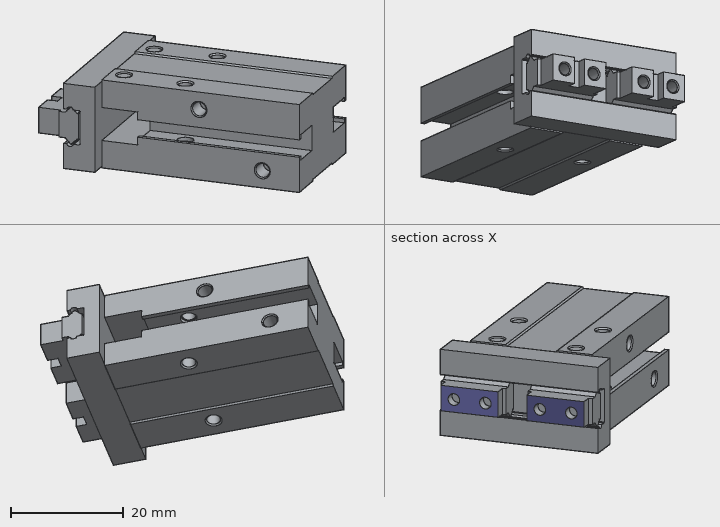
import cadquery as cq
TOTAL_LENGTH = 48.7
CUT_OVERSHOOT = 0.5

PLATE_FRONT_X = 5.2
PLATE_BACK_X = 11.2
PLATE_WIDTH = 30.0
PLATE_HEIGHT = 15.95

SLOT_BACK_X = 8.4
SLOT_HALF_HEIGHT = 3.2
SLOT_CHAMFER = 0.15
RAIL_X = 6.5
GROOVE_DEPTH = 0.5
GROOVE_RADIUS = 0.65

BLOCK_WIDTH = 23.15
BLOCK_HEIGHT = 16.5
RECESS_DEPTH = 0.3
RECESS_HALF_WIDTH = 4.9

WINDOW_BACK_X = 18.0
WINDOW_HEIGHT = 6.2
CHANNEL_MOUTH_HEIGHT = 3.25
CHANNEL_HEIGHT = 4.7
LIP_WIDTH = 0.8
WEB_WIDTH = 10.7

HOLE_DIAMETER = 2.6
HOLE_MOUTH_DIAMETER = 3.0
MOUNT_HOLE_X = 25.7
MOUNT_HOLE_Y = 8.0
TOP_DIMPLE_X = 13.9
TOP_DIMPLE_Y = 7.5
TOP_DIMPLE_DIAMETER = 2.6
TOP_DIMPLE_DEPTH = (HOLE_MOUTH_DIAMETER - TOP_DIMPLE_DIAMETER) / 2
MOUNT_BORE_DIAMETER = 2.5
MOUNT_RECESS_DIAMETER = 2.95
MOUNT_RECESS_DEPTH = 0.75
PORT_PLACES = [(29.65, 5.0), (41.7, -5.0)]
PORT_DEPTH = 3.9
PORT_DUCT_DIAMETER = 0.55
PORT_DUCT_LENGTH = 1.95

JAW_HEIGHT = 4.8
JAW_BACK_X = 7.9
SHOULDER_X = 4.15
SLIDE_INNER_Y = 2.1
SLIDE_OUTER_Y = 14.4
FINGER_CENTER_Y = 8.2
FINGER_WIDTH = 10.9
NOTCH_WIDTH = 2.1
NOTCH_DEPTH = 1.95
RAIL_HEIGHT = 1.05
RAIL_CREST = 0.15
JAW_HOLE_SPACING = 6.0
JAW_HOLE_DIAMETER = 2.1
JAW_HOLE_MOUTH_DIAMETER = 2.55
JAW_HOLE_DEPTH = 3.9


def box_between(x_range, y_range, z_range):
    """Box that fills the given ranges along X, Y and Z."""
    (x0, x1), (y0, y1), (z0, z1) = x_range, y_range, z_range
    return cq.Workplane("XY").box(x1 - x0, y1 - y0, z1 - z0, centered=False).translate((x0, y0, z0))


def centered_range(size):
    return (-size / 2, size / 2)


def drill(start, direction, diameter, depth, mouth_diameter):
    """Flat-bottomed hole tool with a 45 degree countersink at its mouth."""
    countersink = (mouth_diameter - diameter) / 2
    start = cq.Vector(*start)
    direction = cq.Vector(*direction)
    bore = cq.Solid.makeCylinder(diameter / 2, depth, start, direction)
    mouth = cq.Solid.makeCone(mouth_diameter / 2, diameter / 2, countersink, start, direction)
    return cq.Workplane("XY").add(bore.fuse(mouth))


def across_y(points, y_range):
    """Prism along Y with the given X-Z outline."""
    y0, y1 = y_range
    return cq.Workplane("XZ", origin=(0, y0, 0)).polyline(points).close().extrude(y0 - y1)


def rail_slot():
    """Slot for the jaws, with a round groove in its upper and lower walls."""
    y_range = centered_range(PLATE_WIDTH + 2 * CUT_OVERSHOOT)
    upper = [
        (PLATE_FRONT_X, SLOT_HALF_HEIGHT + SLOT_CHAMFER),
        (PLATE_FRONT_X + SLOT_CHAMFER, SLOT_HALF_HEIGHT),
        (SLOT_BACK_X - SLOT_CHAMFER, SLOT_HALF_HEIGHT),
        (SLOT_BACK_X, SLOT_HALF_HEIGHT - SLOT_CHAMFER),
    ]
    lower = [(x, -z) for x, z in reversed(upper)]
    slot = across_y(upper + lower, y_range)
    groove_length = PLATE_WIDTH + 2 * CUT_OVERSHOOT
    groove_center_z = SLOT_HALF_HEIGHT + GROOVE_DEPTH - GROOVE_RADIUS
    for side in (1, -1):
        groove_start = cq.Vector(RAIL_X, y_range[0], side * groove_center_z)
        groove = cq.Solid.makeCylinder(GROOVE_RADIUS, groove_length, groove_start, cq.Vector(0, 1, 0))
        slot = slot.union(cq.Workplane("XY").add(groove))
    return slot


def main_block():
    """Block whose top and bottom faces have a lowered middle band with sloping flanks."""
    half_width = BLOCK_WIDTH / 2
    half_height = BLOCK_HEIGHT / 2
    band_half_width = RECESS_HALF_WIDTH - RECESS_DEPTH
    top = [
        (half_width, half_height),
        (RECESS_HALF_WIDTH, half_height),
        (band_half_width, half_height - RECESS_DEPTH),
        (-band_half_width, half_height - RECESS_DEPTH),
        (-RECESS_HALF_WIDTH, half_height),
        (-half_width, half_height),
    ]
    bottom = [(y, -z) for y, z in reversed(top)]
    profile = cq.Workplane("YZ", origin=(PLATE_BACK_X, 0, 0)).polyline(top + bottom).close()
    return profile.extrude(TOTAL_LENGTH - PLATE_BACK_X)


def side_channel(side):
    """Lipped channel along one side of the block, open at the rear and into the window."""
    x_range = (WINDOW_BACK_X, TOTAL_LENGTH)
    web_y = WEB_WIDTH / 2
    outer_y = BLOCK_WIDTH / 2
    mouth = box_between(x_range, (web_y, outer_y), centered_range(CHANNEL_MOUTH_HEIGHT))
    inside = box_between(x_range, (web_y, outer_y - LIP_WIDTH), centered_range(CHANNEL_HEIGHT))
    channel = mouth.union(inside)
    return channel if side > 0 else channel.mirror("XZ")


def air_port(x, z):
    """Threaded port on the -Y side with a narrow duct at its bottom."""
    face_y = -BLOCK_WIDTH / 2
    port = drill((x, face_y, z), (0, 1, 0), HOLE_DIAMETER, PORT_DEPTH, HOLE_MOUTH_DIAMETER)
    duct_start = cq.Vector(x, face_y + PORT_DEPTH, z)
    duct = cq.Solid.makeCylinder(PORT_DUCT_DIAMETER / 2, PORT_DUCT_LENGTH, duct_start, cq.Vector(0, 1, 0))
    return port.union(cq.Workplane("XY").add(duct))


def mount_hole(y, end):
    """Hole through the upper (end = 1) or lower (end = -1) wing, with a shallow counterbore in the channel."""
    outer_z = BLOCK_HEIGHT / 2
    inner_z = CHANNEL_HEIGHT / 2
    outside = (MOUNT_HOLE_X, y, end * outer_z)
    inside = cq.Vector(MOUNT_HOLE_X, y, end * inner_z)
    bore = drill(outside, (0, 0, -end), MOUNT_BORE_DIAMETER, outer_z - inner_z, HOLE_MOUTH_DIAMETER)
    recess = cq.Solid.makeCylinder(MOUNT_RECESS_DIAMETER / 2, MOUNT_RECESS_DEPTH, inside, cq.Vector(0, 0, end))
    return bore.union(cq.Workplane("XY").add(recess))


def make_housing():
    plate = box_between((PLATE_FRONT_X, PLATE_BACK_X), centered_range(PLATE_WIDTH), centered_range(PLATE_HEIGHT))
    housing = plate.cut(rail_slot()).union(main_block())
    housing = housing.cut(
        box_between((PLATE_BACK_X, WINDOW_BACK_X), centered_range(BLOCK_WIDTH), centered_range(WINDOW_HEIGHT))
    )
    half_height = BLOCK_HEIGHT / 2
    for side in (1, -1):
        housing = housing.cut(side_channel(side))
        top_start = (TOP_DIMPLE_X, side * TOP_DIMPLE_Y, half_height)
        dimple = drill(top_start, (0, 0, -1), TOP_DIMPLE_DIAMETER, TOP_DIMPLE_DEPTH, HOLE_MOUTH_DIAMETER)
        housing = housing.cut(dimple)
        for end in (1, -1):
            housing = housing.cut(mount_hole(side * MOUNT_HOLE_Y, end))
    for x, z in PORT_PLACES:
        housing = housing.cut(air_port(x, z))
    return housing


def make_jaw(side):
    """Jaw with a notched finger in front of a slide that carries V rails; side is +1 or -1 along Y."""
    half_height = JAW_HEIGHT / 2
    slide_range = (SLIDE_INNER_Y, SLIDE_OUTER_Y)
    z_range = centered_range(JAW_HEIGHT)
    jaw = box_between((SHOULDER_X, JAW_BACK_X), slide_range, z_range)

    finger_range = (FINGER_CENTER_Y - FINGER_WIDTH / 2, FINGER_CENTER_Y + FINGER_WIDTH / 2)
    jaw = jaw.union(box_between((0, SHOULDER_X), finger_range, z_range))

    notch_range = (FINGER_CENTER_Y - NOTCH_WIDTH / 2, FINGER_CENTER_Y + NOTCH_WIDTH / 2)
    jaw = jaw.cut(box_between((0, NOTCH_DEPTH), notch_range, z_range))

    half_crest = RAIL_CREST / 2
    rail_outline = [
        (RAIL_X - half_crest - RAIL_HEIGHT, half_height),
        (RAIL_X - half_crest, half_height + RAIL_HEIGHT),
        (RAIL_X + half_crest, half_height + RAIL_HEIGHT),
        (RAIL_X + half_crest + RAIL_HEIGHT, half_height),
    ]
    rail = across_y(rail_outline, slide_range)
    jaw = jaw.union(rail).union(rail.mirror("XY"))

    for offset in (-JAW_HOLE_SPACING / 2, JAW_HOLE_SPACING / 2):
        start = (0, FINGER_CENTER_Y + offset, 0)
        jaw = jaw.cut(drill(start, (1, 0, 0), JAW_HOLE_DIAMETER, JAW_HOLE_DEPTH, JAW_HOLE_MOUTH_DIAMETER))
    return jaw if side > 0 else jaw.mirror("XZ")


housing = make_housing()
jaws = [make_jaw(side) for side in (1, -1)]

result = cq.Compound.makeCompound([housing.val(), *[jaw.val() for jaw in jaws]])